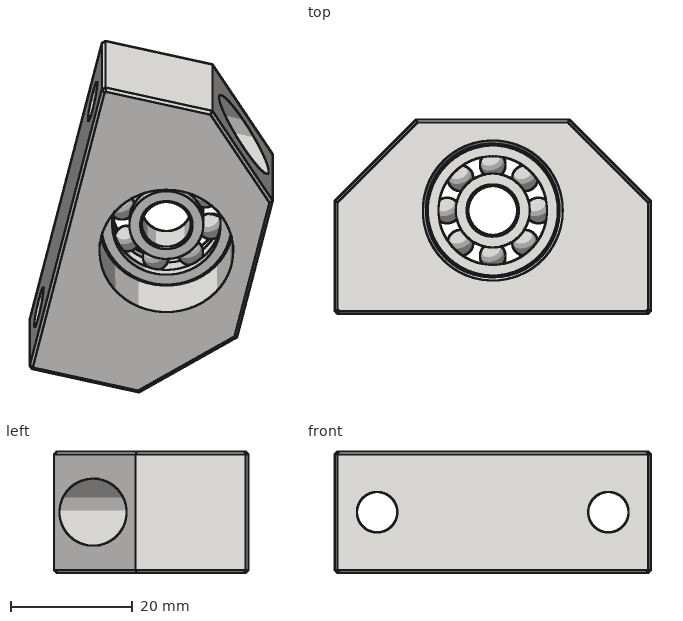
import cadquery as cq
import math

width = 52.0
depth = 32.0
height = 20.0
edge_chamfer = 0.5
bevel = 13.4

mount_spacing = 38.0
mount_diameter = 6.6
counterbore_diameter = 11.0
counterbore_floor = bevel

bearing_outer_diameter = 22.0
bearing_bore = 8.0
bearing_width = 7.0
ring_wall = 2.1
ring_chamfer = 0.3
ball_diameter = 4.25
raceway_bite = 0.05
ball_count = 8

bore_to_rear = 15.0
bearing_recess = 2.5
bore_chamfer = 0.5

rear = bore_to_rear
front = rear - depth
bearing_top = height - bearing_recess
bearing_bottom = bearing_top - bearing_width
bearing_middle = bearing_bottom + bearing_width / 2
pitch_radius = (bearing_outer_diameter + bearing_bore) / 4


def make_block():
    half = width / 2
    outline = [
        (-half, front),
        (half, front),
        (half, rear - bevel),
        (half - bevel, rear),
        (-half + bevel, rear),
        (-half, rear - bevel),
    ]
    block = cq.Workplane("XY").polyline(outline).close().extrude(height)
    block = block.edges("|Z and <Y").chamfer(edge_chamfer)
    return block.faces("<Z or >Z").edges().chamfer(edge_chamfer)


def cylinder_along_y(diameter, x, y_start, y_end):
    base = cq.Workplane("XZ", origin=(x, y_end, height / 2))
    return base.circle(diameter / 2).extrude(y_end - y_start)


def make_bearing_bore():
    bore_radius = bearing_outer_diameter / 2
    bore = cq.Workplane("XY").circle(bore_radius).extrude(height)
    lead_in = cq.Workplane(
        cq.Solid.makeCone(
            bore_radius, bore_radius + bore_chamfer, bore_chamfer, cq.Vector(0, 0, height - bore_chamfer)
        )
    )
    return bore.union(lead_in)


def make_housing():
    housing = make_block()
    for x in (-mount_spacing / 2, mount_spacing / 2):
        housing = housing.cut(cylinder_along_y(mount_diameter, x, front, rear))
        housing = housing.cut(cylinder_along_y(counterbore_diameter, x, rear - counterbore_floor, rear))
    return housing.cut(make_bearing_bore())


def make_ring(outer_diameter, inner_diameter):
    ring = cq.Workplane("XY", origin=(0, 0, bearing_bottom))
    return ring.circle(outer_diameter / 2).circle(inner_diameter / 2).extrude(bearing_width)


def make_raceway():
    raceway_radius = ball_diameter / 2 - raceway_bite
    return cq.Workplane(cq.Solid.makeTorus(pitch_radius, raceway_radius, cq.Vector(0, 0, bearing_middle)))


def make_bearing():
    outer_ring = make_ring(bearing_outer_diameter, bearing_outer_diameter - 2 * ring_wall)
    outer_ring = outer_ring.edges(cq.selectors.RadiusNthSelector(-1)).chamfer(ring_chamfer)
    inner_ring = make_ring(bearing_bore + 2 * ring_wall, bearing_bore)
    inner_ring = inner_ring.edges(cq.selectors.RadiusNthSelector(0)).chamfer(ring_chamfer)
    bearing = outer_ring.union(inner_ring).cut(make_raceway())
    for i in range(ball_count):
        angle = i * 2 * math.pi / ball_count
        centre = (
            pitch_radius * math.cos(angle),
            pitch_radius * math.sin(angle),
            bearing_middle,
        )
        bearing = bearing.union(cq.Workplane("XY", origin=centre).sphere(ball_diameter / 2))
    return bearing


housing = make_housing()
bearing = make_bearing()
result = cq.Compound.makeCompound([housing.solids().val(), bearing.solids().val()])